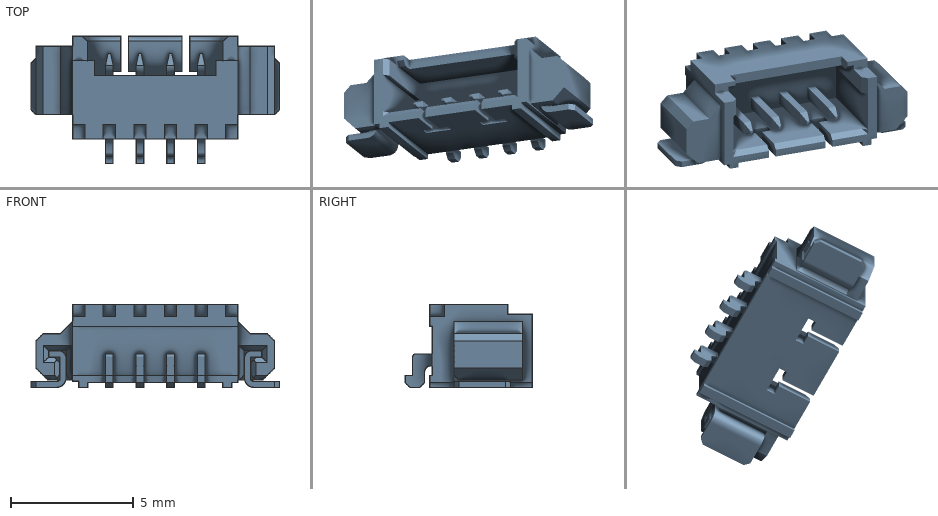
import cadquery as cq
import math


DIAGONAL = math.sqrt(0.5)

PIN_COUNT = 4
PITCH = 1.25
PIN_WIDTH = 0.32
PIN_BOTTOM = 0.88
PIN_TOP = 1.38
PIN_SHOULDER_Y = 3.0
PIN_TIP_Y = 3.5
PIN_TIP_SIZE = 0.1
TAIL_END_Y = -1.0
TAIL_OUTER_Y = -0.7
TAIL_INNER_Y = -0.2
TAIL_FOOT_TOP = 0.5
TAIL_OUTER_RADIUS = 0.15
TAIL_INNER_RADIUS = 0.25
TAIL_CHAMFER = 0.2

BODY_WIDTH = 6.75
BODY_DEPTH = 4.2
BODY_HEIGHT = 3.4
BODY_HALF = BODY_WIDTH / 2
BODY_BOTTOM = 0.2
LEFT_EDGE_BOTTOM = 0.25
RAIL_INNER_X = 2.75
RAIL_OUTER_X = 3.125
SIDE_WALL_TOP = 3.0
ROOF_FRONT_Y = 3.2
ROOF_RECESS_Y = 2.6
ROOF_RECESS_HALF = 2.475
REAR_RECESS_BOTTOM = 0.5
REAR_RECESS_TOP = 2.5
REAR_RECESS_DEPTH = 0.1
NOTCH_WIDTH = 0.5
NOTCH_DEPTH = 0.6
NOTCH_HEIGHT = 0.5

CAVITY_HALF = 2.775
CAVITY_BACK_Y = 0.8
CAVITY_FLOOR = 0.7
CAVITY_CEILING = 3.0
CAVITY_LEAD_IN = 0.2
SIDE_GROOVE_DEPTH = 0.2
SIDE_GROOVE_TOP = 2.3
FLOOR_SLOT_WIDTH = 0.3
FLOOR_SLOT_X = PITCH
FLOOR_WINDOW_FRONT_Y = 2.75
FLOOR_WINDOW_BACK_Y = 2.4
FLOOR_WINDOW_WIDTH = PITCH - PIN_WIDTH / 2

WING_REAR_Y = 1.0
WING_FRONT_Y = 3.8
WING_OUTER_X = 4.875
WING_BOTTOM = 0.3
WING_SHOULDER_Z = 2.2
WING_TOP_BEVEL = 0.3
WING_BOTTOM_BEVEL = 0.5
WING_ROOT_RISE = 0.5
LEAD_IN = 0.2

TAB_THICKNESS = 0.25
TAB_FRONT_Y = 3.3
TAB_INNER_X = 3.64
TAB_HOOK_X = 4.345
TAB_FOOT_X = 5.075
TAB_TOP = 1.5
TAB_HOOK_BEND_RADIUS = 0.3
TAB_FOOT_BEND_RADIUS = 0.4
TAB_FOOT_CHAMFER = 0.2
TAB_CLEARANCE = 0.02


def box(x0, x1, y0, y1, z0, z1):
    """Axis-aligned block between two opposite corners."""
    return cq.Workplane("XY").box(x1 - x0, y1 - y0, z1 - z0, centered=False).translate((x0, y0, z0))


def xz_prism(points, y0, y1):
    """Polygon given as (x, z) points, extruded from y0 to y1."""
    return cq.Workplane("XZ", origin=(0, y0, 0)).polyline(points).close().extrude(y0 - y1)


def yz_prism(points, x0, x1):
    """Polygon given as (y, z) points, extruded from x0 to x1."""
    return cq.Workplane("YZ", origin=(x0, 0, 0)).polyline(points).close().extrude(x1 - x0)


def pin_positions():
    return [(i - (PIN_COUNT - 1) / 2) * PITCH for i in range(PIN_COUNT)]


def make_shell():
    """Housing block with its stepped front top edge, bottom rails and shallow rear recess."""
    shell = box(-BODY_HALF, BODY_HALF, 0, BODY_DEPTH, BODY_BOTTOM, BODY_HEIGHT)
    shell = shell.cut(box(-BODY_HALF, BODY_HALF, ROOF_FRONT_Y, BODY_DEPTH, SIDE_WALL_TOP, BODY_HEIGHT))
    shell = shell.cut(
        box(-BODY_HALF, BODY_HALF, 0, REAR_RECESS_DEPTH, REAR_RECESS_BOTTOM, REAR_RECESS_TOP)
    )
    shell = shell.cut(box(-BODY_HALF, -RAIL_OUTER_X, 0, BODY_DEPTH, BODY_BOTTOM, LEFT_EDGE_BOTTOM))
    for x0, x1 in ((-RAIL_OUTER_X, -RAIL_INNER_X), (RAIL_INNER_X, RAIL_OUTER_X)):
        shell = shell.union(box(x0, x1, 0, BODY_DEPTH, 0, BODY_BOTTOM))
    return shell


def cut_cavity(shell):
    """Plug cavity, open at the front, with a flared mouth and grooved side walls."""
    shell = shell.cut(
        box(-CAVITY_HALF, CAVITY_HALF, CAVITY_BACK_Y, BODY_DEPTH, CAVITY_FLOOR, CAVITY_CEILING)
    )
    shell = shell.cut(
        box(-CAVITY_HALF, CAVITY_HALF, ROOF_FRONT_Y, BODY_DEPTH, CAVITY_FLOOR, SIDE_WALL_TOP)
    )
    shell = shell.cut(
        box(-ROOF_RECESS_HALF, ROOF_RECESS_HALF, ROOF_RECESS_Y, BODY_DEPTH, CAVITY_FLOOR, BODY_HEIGHT)
    )
    mouth_half = CAVITY_HALF + CAVITY_LEAD_IN
    mouth_floor = CAVITY_FLOOR - CAVITY_LEAD_IN
    mouth_y = BODY_DEPTH - CAVITY_LEAD_IN
    side_flare = (
        cq.Workplane("XY", origin=(0, 0, mouth_floor))
        .polyline([
            (-CAVITY_HALF, mouth_y),
            (CAVITY_HALF, mouth_y),
            (mouth_half, BODY_DEPTH),
            (-mouth_half, BODY_DEPTH),
        ])
        .close()
        .extrude(SIDE_WALL_TOP - mouth_floor)
    )
    floor_flare = yz_prism(
        [
            (mouth_y, CAVITY_FLOOR),
            (BODY_DEPTH, mouth_floor),
            (BODY_DEPTH, SIDE_WALL_TOP),
            (mouth_y, SIDE_WALL_TOP),
        ],
        -mouth_half,
        mouth_half,
    )
    shell = shell.cut(side_flare.intersect(floor_flare))

    ceiling_flare = [
        (ROOF_FRONT_Y - CAVITY_LEAD_IN, CAVITY_CEILING),
        (ROOF_FRONT_Y, CAVITY_CEILING),
        (ROOF_FRONT_Y, CAVITY_CEILING + CAVITY_LEAD_IN),
    ]
    shell = shell.cut(yz_prism(ceiling_flare, -CAVITY_HALF, CAVITY_HALF))

    groove_half = CAVITY_HALF + SIDE_GROOVE_DEPTH
    return shell.cut(
        box(-groove_half, groove_half, CAVITY_BACK_Y, BODY_DEPTH, CAVITY_FLOOR, SIDE_GROOVE_TOP)
    )


def cut_roof_notches(shell):
    """Notches in the rear top edge: one above each pin and one at each end."""
    half_notch = NOTCH_WIDTH / 2
    end_x = BODY_HALF - half_notch
    for x in [-end_x, *pin_positions(), end_x]:
        shell = shell.cut(
            box(x - half_notch, x + half_notch, 0, NOTCH_DEPTH, BODY_HEIGHT - NOTCH_HEIGHT, BODY_HEIGHT)
        )
    return shell


def cut_floor_slots(shell):
    """T-shaped openings through the cavity floor, each running out at the front."""
    half_slot = FLOOR_SLOT_WIDTH / 2
    half_window = FLOOR_WINDOW_WIDTH / 2
    window_back = FLOOR_WINDOW_BACK_Y
    for x in (-FLOOR_SLOT_X, FLOOR_SLOT_X):
        shell = shell.cut(
            box(x - half_slot, x + half_slot, window_back, BODY_DEPTH, 0, CAVITY_FLOOR)
        )
        shell = shell.cut(
            box(x - half_window, x + half_window, window_back, FLOOR_WINDOW_FRONT_Y, 0, CAVITY_FLOOR)
        )
    return shell


def make_wing():
    """Left wing: a hooked block with a blind tab slot that flares towards the rear."""
    outer_x = -WING_OUTER_X
    root_x = -BODY_HALF
    wing = xz_prism(
        [
            (root_x, WING_BOTTOM),
            (outer_x + WING_BOTTOM_BEVEL, WING_BOTTOM),
            (outer_x, WING_BOTTOM + WING_BOTTOM_BEVEL),
            (outer_x, WING_SHOULDER_Z - WING_TOP_BEVEL),
            (outer_x + WING_TOP_BEVEL, WING_SHOULDER_Z),
            (root_x - WING_ROOT_RISE, WING_SHOULDER_Z),
            (root_x, WING_SHOULDER_Z + WING_ROOT_RISE),
        ],
        WING_REAR_Y,
        WING_FRONT_Y,
    )

    right_x = -TAB_INNER_X + TAB_CLEARANCE
    left_x = -TAB_INNER_X - TAB_THICKNESS - TAB_CLEARANCE
    hook_x = -TAB_HOOK_X - TAB_CLEARANCE
    slot_top = TAB_TOP + TAB_CLEARANCE
    hook_bottom = TAB_TOP - TAB_THICKNESS - TAB_CLEARANCE

    def slot_outline(grow):
        return [
            (right_x + grow, 0),
            (right_x + grow, slot_top + grow),
            (hook_x - grow, slot_top + grow),
            (hook_x - grow, hook_bottom - grow),
            (left_x - grow, hook_bottom - grow),
            (left_x - grow, 0),
        ]

    lead_in_y = WING_REAR_Y + LEAD_IN
    wing = wing.cut(xz_prism(slot_outline(0), WING_REAR_Y, TAB_FRONT_Y))
    flare = (
        cq.Workplane("XZ", origin=(0, WING_REAR_Y, 0))
        .polyline(slot_outline(LEAD_IN))
        .close()
        .workplane(offset=-LEAD_IN)
        .polyline(slot_outline(0))
        .close()
        .loft(ruled=True)
    )
    wing = wing.cut(flare)

    bottom_lead_in = [
        (WING_REAR_Y, WING_BOTTOM),
        (lead_in_y, WING_BOTTOM),
        (WING_REAR_Y, WING_BOTTOM + LEAD_IN),
    ]
    wing = wing.cut(yz_prism(bottom_lead_in, outer_x, left_x))

    for x, z, x_side, z_side in (
        (left_x, WING_BOTTOM, -1, 1),
        (right_x, WING_BOTTOM, 1, 1),
        (left_x, hook_bottom, -1, -1),
    ):
        corner = [(x, z), (x + x_side * LEAD_IN, z), (x, z + z_side * LEAD_IN)]
        wing = wing.cut(xz_prism(corner, WING_REAR_Y, TAB_FRONT_Y))
    return wing


def make_tab():
    """Left solder tab: bent strip with a hook at the top and a flat foot on the board."""
    outside_x = -TAB_INNER_X - TAB_THICKNESS
    hook_x = -TAB_HOOK_X
    hook_bend_x = -TAB_INNER_X - TAB_HOOK_BEND_RADIUS
    hook_bend_z = TAB_TOP - TAB_HOOK_BEND_RADIUS
    foot_bend_x = -TAB_INNER_X - TAB_FOOT_BEND_RADIUS
    foot_bend_z = TAB_FOOT_BEND_RADIUS

    def hook_middle(radius):
        return (hook_bend_x + radius * DIAGONAL, hook_bend_z + radius * DIAGONAL)

    def foot_middle(radius):
        return (foot_bend_x + radius * DIAGONAL, foot_bend_z - radius * DIAGONAL)

    tab = (
        cq.Workplane("XZ", origin=(0, WING_REAR_Y, 0))
        .moveTo(hook_x, TAB_TOP)
        .lineTo(hook_bend_x, TAB_TOP)
        .threePointArc(hook_middle(TAB_HOOK_BEND_RADIUS), (-TAB_INNER_X, hook_bend_z))
        .lineTo(-TAB_INNER_X, foot_bend_z)
        .threePointArc(foot_middle(TAB_FOOT_BEND_RADIUS), (foot_bend_x, 0))
        .lineTo(-TAB_FOOT_X, 0)
        .lineTo(-TAB_FOOT_X, TAB_THICKNESS)
        .lineTo(foot_bend_x, TAB_THICKNESS)
        .threePointArc(foot_middle(TAB_FOOT_BEND_RADIUS - TAB_THICKNESS), (outside_x, foot_bend_z))
        .lineTo(outside_x, hook_bend_z)
        .threePointArc(
            hook_middle(TAB_HOOK_BEND_RADIUS - TAB_THICKNESS),
            (hook_bend_x, TAB_TOP - TAB_THICKNESS),
        )
        .lineTo(hook_x, TAB_TOP - TAB_THICKNESS)
        .close()
        .extrude(WING_REAR_Y - TAB_FRONT_Y)
    )
    return tab.edges("|Z").edges("<X").chamfer(TAB_FOOT_CHAMFER)


def make_pin():
    """Contact pin at X = 0: straight blade with a tapered tip and a stepped tail."""
    arc_y = TAIL_INNER_Y + TAIL_INNER_RADIUS
    arc_z = PIN_BOTTOM - TAIL_INNER_RADIUS
    pin = (
        cq.Workplane("YZ", origin=(-PIN_WIDTH / 2, 0, 0))
        .moveTo(PIN_SHOULDER_Y, PIN_TOP)
        .lineTo(TAIL_OUTER_Y + TAIL_OUTER_RADIUS, PIN_TOP)
        .threePointArc(
            (
                TAIL_OUTER_Y + TAIL_OUTER_RADIUS * (1 - DIAGONAL),
                PIN_TOP - TAIL_OUTER_RADIUS * (1 - DIAGONAL),
            ),
            (TAIL_OUTER_Y, PIN_TOP - TAIL_OUTER_RADIUS),
        )
        .lineTo(TAIL_OUTER_Y, TAIL_FOOT_TOP)
        .lineTo(TAIL_END_Y, TAIL_FOOT_TOP)
        .lineTo(TAIL_END_Y, TAIL_CHAMFER)
        .lineTo(TAIL_END_Y + TAIL_CHAMFER, 0)
        .lineTo(TAIL_INNER_Y - TAIL_CHAMFER, 0)
        .lineTo(TAIL_INNER_Y, TAIL_CHAMFER)
        .lineTo(TAIL_INNER_Y, arc_z)
        .threePointArc(
            (arc_y - TAIL_INNER_RADIUS * DIAGONAL, arc_z + TAIL_INNER_RADIUS * DIAGONAL),
            (arc_y, PIN_BOTTOM),
        )
        .lineTo(PIN_SHOULDER_Y, PIN_BOTTOM)
        .close()
        .extrude(PIN_WIDTH)
    )
    tip = (
        cq.Workplane("XZ", origin=(0, PIN_SHOULDER_Y, (PIN_BOTTOM + PIN_TOP) / 2))
        .rect(PIN_WIDTH, PIN_TOP - PIN_BOTTOM)
        .workplane(offset=PIN_SHOULDER_Y - PIN_TIP_Y)
        .rect(PIN_TIP_SIZE, PIN_TIP_SIZE)
        .loft(ruled=True)
    )
    return pin.union(tip)


housing = cut_floor_slots(cut_roof_notches(cut_cavity(make_shell())))

wing_with_tab = make_wing().union(make_tab())
result = housing.union(wing_with_tab).union(wing_with_tab.mirror("YZ"))

pin = make_pin()
for pin_x in pin_positions():
    result = result.union(pin.translate((pin_x, 0, 0)))